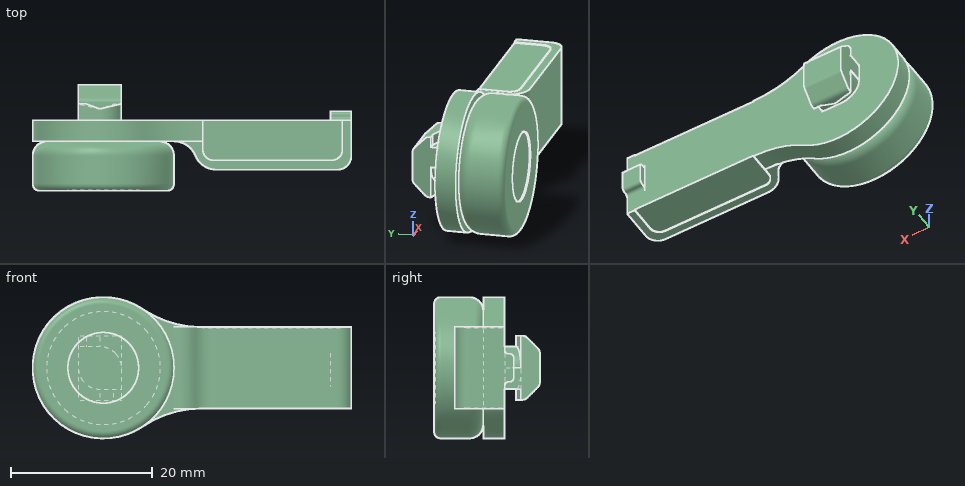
import cadquery as cq
import math

disc_radius = 10.0
overall_length = 45.0
plate_thickness = 3.0
knob_front = -10.0
knob_back_round = 2.0
knob_front_round = 1.0
dimple_radius = 5.0
dimple_depth = 0.2

handle_half_width = 5.75
handle_end = overall_length - disc_radius
handle_front = -7.0
handle_flat_start = 15.98
handle_corner = 2.0
neck_radius = 14.7

recess_start = 14.05
recess_end = 33.75
recess_front = -5.65
recess_corner = 1.55
recess_depth = 0.15

key_center = -0.5
key_half_length = 3.05
stem_radius = 3.0
head_back = 5.0
head_half_width = 4.55
head_slope_start = 2.9
head_round = 1.0
ramp_low = 1.58
ramp_high = 2.3
ramp_flat = 1.12

catch_length = 2.95
catch_height = 1.25
catch_half_width = 2.0
catch_round = 0.55


def prism_z(sketch_points, z_low, z_high):
    """Polygon in XY extruded between two heights."""
    outline = cq.Workplane("XY").workplane(offset=z_low).polyline(sketch_points).close()
    return outline.extrude(z_high - z_low)


def make_plate():
    """Round plate blended by tangent concave arcs into a straight neck."""
    reach = disc_radius + neck_radius
    arc_z = handle_half_width + neck_radius
    arc_x = math.sqrt(reach**2 - arc_z**2)
    tangent_x = arc_x * disc_radius / reach
    tangent_z = arc_z * disc_radius / reach
    half_angle = (math.atan2(arc_z, arc_x) + math.pi / 2) / 2
    mid_x = arc_x - neck_radius * math.cos(half_angle)
    mid_z = arc_z - neck_radius * math.sin(half_angle)
    return (
        cq.Workplane("XZ")
        .moveTo(arc_x, handle_half_width)
        .threePointArc((mid_x, mid_z), (tangent_x, tangent_z))
        .threePointArc((-disc_radius, 0), (tangent_x, -tangent_z))
        .threePointArc((mid_x, -mid_z), (arc_x, -handle_half_width))
        .close()
        .extrude(plate_thickness)
    )


def make_knob():
    """Rounded knob with a shallow round dimple in its front face."""
    knob = (
        cq.Workplane("XZ", origin=(0, -plate_thickness, 0))
        .circle(disc_radius)
        .extrude(-plate_thickness - knob_front)
    )
    knob = knob.faces(">Y").edges().fillet(knob_back_round)
    knob = knob.faces("<Y").edges().fillet(knob_front_round)
    dimple = (
        cq.Workplane("XZ", origin=(0, knob_front + dimple_depth, 0))
        .circle(dimple_radius)
        .extrude(dimple_depth)
    )
    return knob.cut(dimple)


def make_handle():
    """Thick bar whose front bends forward from the plate in an S of two equal arcs."""
    bend_run = handle_flat_start - disc_radius
    bend_drop = -plate_thickness - handle_front
    bend_radius = (bend_run**2 + bend_drop**2) / (4 * bend_drop)
    bend_middle = (disc_radius + bend_run / 2, -plate_thickness - bend_drop / 2)
    bar = (
        cq.Workplane("XY")
        .workplane(offset=-handle_half_width)
        .moveTo(disc_radius, 0)
        .lineTo(disc_radius, -plate_thickness)
        .radiusArc(bend_middle, bend_radius)
        .radiusArc((handle_flat_start, handle_front), -bend_radius)
        .lineTo(handle_end, handle_front)
        .lineTo(handle_end, 0)
        .close()
        .extrude(2 * handle_half_width)
    )
    bar = bar.edges("|Z and >X and <Y").fillet(handle_corner)
    corners = [(recess_start, 0), (recess_start, recess_front), (recess_end, recess_front), (recess_end, 0)]
    for z_low in (-handle_half_width, handle_half_width - recess_depth):
        recess = prism_z(corners, z_low, z_low + recess_depth)
        bar = bar.cut(recess.edges("|Z and <Y").fillet(recess_corner))
    return bar


def make_key_head():
    """Roof-shaped head with rounded shoulders and ramped undersides."""
    slope_rise = head_back - head_slope_start
    ridge_half_width = head_half_width - slope_rise
    head = (
        cq.Workplane("YZ")
        .polyline([
            (ramp_low, -head_half_width),
            (head_slope_start, -head_half_width),
            (head_back, -ridge_half_width),
            (head_back, ridge_half_width),
            (head_slope_start, head_half_width),
            (ramp_low, head_half_width),
        ])
        .close()
        .extrude(key_half_length, both=True)
    )
    head = head.edges("|X").edges("not <Y").fillet(head_round)
    relief = prism_z(
        [
            (-key_half_length, ramp_low),
            (-key_half_length, ramp_high),
            (ramp_flat - key_half_length, ramp_high),
            (0, ramp_low),
            (key_half_length, ramp_high),
            (key_half_length, ramp_low),
        ],
        0,
        head_half_width,
    )
    return head.cut(relief).cut(relief.rotate((0, 0, 0), (0, 1, 0), 180))


def make_key():
    """Round stem with two opposite squared quarters, carrying the head."""
    key = cq.Workplane("XZ").circle(stem_radius).extrude(-ramp_high)
    for side in (-1, 1):
        stop = cq.Workplane("XY").box(key_half_length, ramp_high, stem_radius)
        key = key.union(stop.translate((side * key_half_length / 2, ramp_high / 2, -side * stem_radius / 2)))
    return key.union(make_key_head()).translate((key_center, 0, 0))


def make_catch():
    """Low ridge across the middle of the handle end, rounded on top and flared at its foot."""
    top_half_width = catch_half_width - catch_round
    foot_half_width = catch_half_width + catch_round
    return (
        cq.Workplane("YZ", origin=(handle_end - catch_length, 0, 0))
        .moveTo(0, -foot_half_width)
        .radiusArc((catch_round, -catch_half_width), catch_round)
        .lineTo(catch_height - catch_round, -catch_half_width)
        .radiusArc((catch_height, -top_half_width), -catch_round)
        .lineTo(catch_height, top_half_width)
        .radiusArc((catch_height - catch_round, catch_half_width), -catch_round)
        .lineTo(catch_round, catch_half_width)
        .radiusArc((0, foot_half_width), catch_round)
        .close()
        .extrude(catch_length)
    )


result = make_plate().union(make_handle()).union(make_knob()).union(make_key()).union(make_catch())